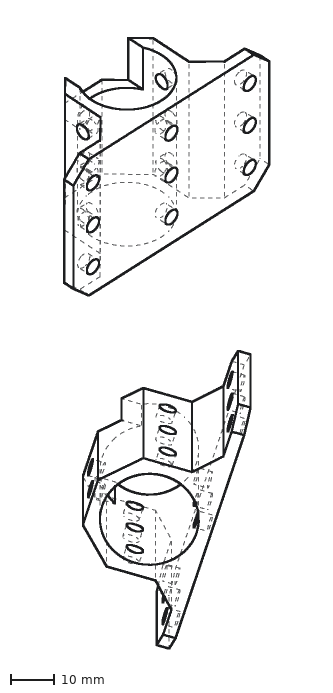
import cadquery as cq
import math

plate_length = 63.5
plate_thickness = 3.05
height = 41.3
depth = 28.95
corner_chamfer = 5.0

octagon_width = 28.6
bore_diameter = 22.85
octagon_apothem = octagon_width / 2
octagon_half_side = octagon_apothem * math.tan(math.radians(22.5))

window_width = 20.45
window_height = 12.7

hole_diameter = 3.95
hole_spacing = 12.7
plate_row_offset = 25.4

plate_back = depth - octagon_apothem
plate_front = plate_back - plate_thickness
gusset_end = octagon_apothem + octagon_half_side
hole_heights = [height / 2 + step * hole_spacing for step in (-1, 0, 1)]


def make_plate():
    plate = cq.Workplane("XY").box(plate_thickness, plate_length, height, centered=(False, True, False))
    return plate.edges("|X").chamfer(corner_chamfer).translate((plate_front, 0, 0))


def make_holder():
    upper_half = [
        (plate_front, gusset_end),
        (octagon_half_side, octagon_apothem),
        (-octagon_half_side, octagon_apothem),
        (-octagon_apothem, octagon_half_side),
    ]
    lower_half = [(x, -y) for x, y in reversed(upper_half)]
    back_edge = [(plate_back, -gusset_end), (plate_back, gusset_end)]
    return cq.Workplane("XY").polyline(upper_half + lower_half + back_edge).close().extrude(height)


def make_bore():
    return cq.Workplane("XY").circle(bore_diameter / 2).extrude(height)


def make_window():
    window = cq.Workplane("XY").box(
        octagon_apothem, window_width, window_height, centered=(False, True, False)
    )
    return window.translate((-octagon_apothem, 0, height - window_height))


def make_holes_along_x():
    places = [(y, z) for y in (-plate_row_offset, 0, plate_row_offset) for z in hole_heights]
    start = cq.Workplane("YZ", origin=(-octagon_apothem, 0, 0))
    return start.pushPoints(places).circle(hole_diameter / 2).extrude(depth)


def make_holes_along_y():
    places = [(0, z) for z in hole_heights]
    return cq.Workplane("XZ").pushPoints(places).circle(hole_diameter / 2).extrude(octagon_apothem, both=True)


result = make_plate().union(make_holder())
result = result.cut(make_bore()).cut(make_window())
result = result.cut(make_holes_along_x()).cut(make_holes_along_y())